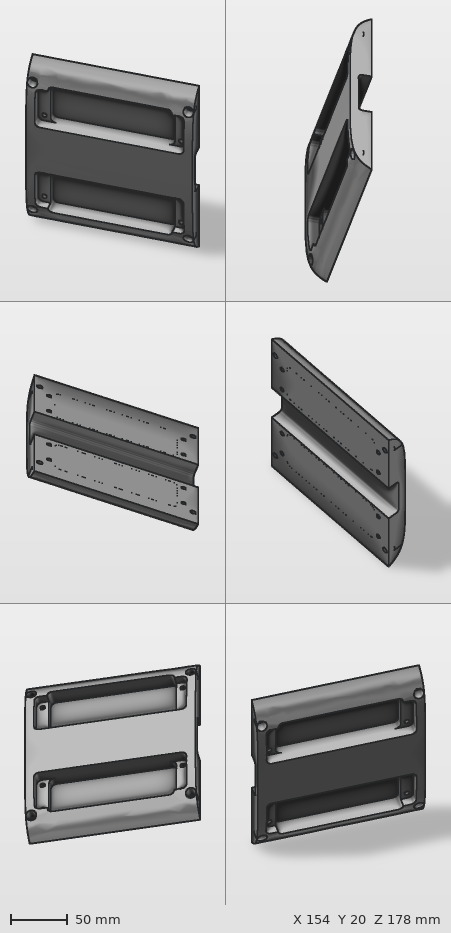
import cadquery as cq

width = 154.0
thickness = 20.0
height = 178.0
front_y = -thickness / 2
back_y = thickness / 2

clearance = 1.8

flat_half_height = 9.0
front_handle_z = 63.2
back_handle_z = 79.0
back_handle_height = 20.0

channel_height = 42.0
channel_depth = 12.1
channel_radius = 3.5

pocket_inner_z = 25.0
bay_width = 115.0
bay_height = 44.5
bay_floor = 1.0
ledge_width = 137.7
ledge_height = 40.0
ledge_depth = 10.9
pocket_radius = 5.0

ledge_hole_diameter = 4.3
ledge_hole_x = 63.2
ledge_hole_inset = 6.0

mount_x = 72.0
mount_z = 70.1
mount_diameter = 5.3
counterbore_diameter = 9.3
counterbore_seat = 7.5


def make_body():
    """Constant YZ section: flat front band, smoothly curving back to sharp upper and lower edges."""
    back_handle_y = back_y - back_handle_height
    upper_curve = [
        (back_y, height / 2),
        (back_handle_y, back_handle_z),
        (front_y, front_handle_z),
        (front_y, flat_half_height),
    ]
    lower_curve = [(y, -z) for y, z in reversed(upper_curve)]
    profile = (
        cq.Workplane("YZ", origin=(-width / 2, 0, 0))
        .moveTo(back_y, -height / 2)
        .lineTo(back_y, height / 2)
        .bezier(upper_curve)
        .lineTo(front_y, -flat_half_height)
        .bezier(lower_curve)
        .close()
    )
    return profile.extrude(width)


def make_channel():
    """Full-width channel, open at the back, with rounded floor corners."""
    block = cq.Workplane("XY").box(width, channel_depth, channel_height)
    block = block.faces("<Y").edges("|X").fillet(channel_radius)
    return block.translate((0, back_y - channel_depth / 2, 0))


def make_recess(recess_width, recess_height, depth, side):
    """Rounded rectangular cutter from the front; side is +1 above the middle, -1 below."""
    block = cq.Workplane("XY").box(recess_width, depth + clearance, recess_height)
    block = block.edges("|Y").fillet(pocket_radius)
    center_z = side * (pocket_inner_z + recess_height / 2)
    return block.translate((0, front_y + (depth - clearance) / 2, center_z))


def make_bore(x, z, diameter, depth):
    """Round cutter along +Y, with its depth measured from the front face."""
    start = cq.Vector(x, front_y - clearance, z)
    bore = cq.Solid.makeCylinder(diameter / 2, depth + clearance, start, cq.Vector(0, 1, 0))
    return cq.Workplane(bore)


result = make_body().cut(make_channel())

for side in (1, -1):
    result = result.cut(make_recess(bay_width, bay_height, thickness - bay_floor, side))
    result = result.cut(make_recess(ledge_width, ledge_height, ledge_depth, side))

    for x in (-ledge_hole_x, ledge_hole_x):
        inner_z = side * (pocket_inner_z + ledge_hole_inset)
        outer_z = side * (pocket_inner_z + ledge_height - ledge_hole_inset)
        for z in (inner_z, outer_z):
            result = result.cut(make_bore(x, z, ledge_hole_diameter, thickness + clearance))

    for x in (-mount_x, mount_x):
        z = side * mount_z
        result = result.cut(make_bore(x, z, mount_diameter, thickness + clearance))
        result = result.cut(make_bore(x, z, counterbore_diameter, thickness - counterbore_seat))